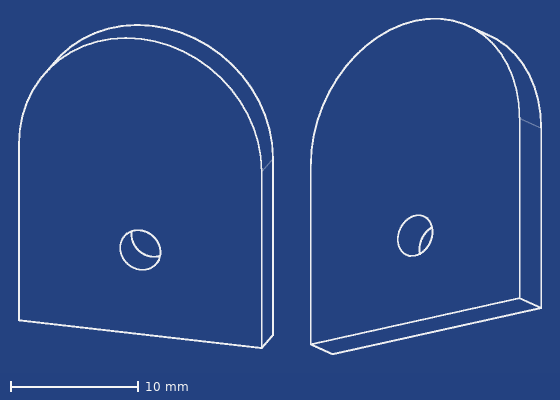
import cadquery as cq

width = 20.0
height = 24.9
thickness = 3.0
hole_diameter = 3.3
hole_height = 7.1

top_radius = width / 2
shoulder_height = height - top_radius

profile = (
    cq.Workplane("XZ")
    .moveTo(-top_radius, 0)
    .lineTo(top_radius, 0)
    .lineTo(top_radius, shoulder_height)
    .threePointArc((0, height), (-top_radius, shoulder_height))
    .close()
)
plate = profile.extrude(thickness)

hole = (
    cq.Workplane("XZ")
    .center(0, hole_height)
    .circle(hole_diameter / 2)
    .extrude(thickness)
)

result = plate.cut(hole)